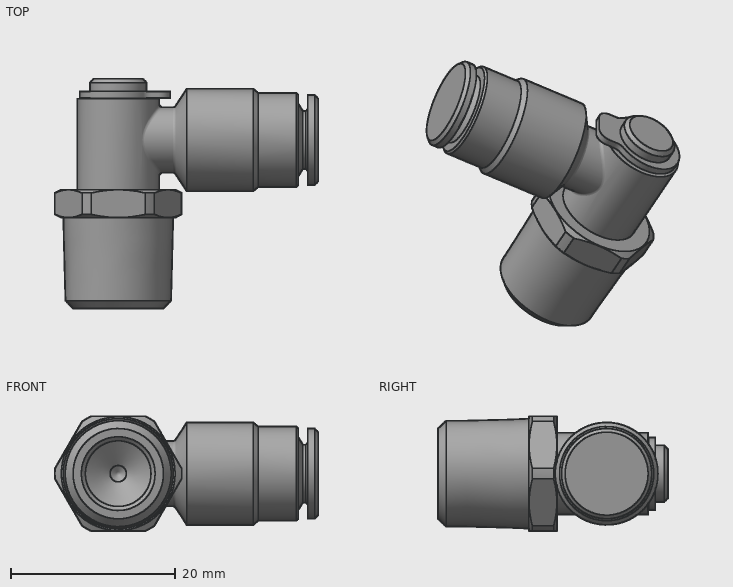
import cadquery as cq
import math


THREAD_END = -20.55
HEX_BOTTOM = -9.47
HEX_TOP = -6.03
BODY_TOP = 5.05
CLIP_BOTTOM = 5.1
CLIP_TOP = 5.95
PLUG_TOP = 7.48
BODY_RADIUS = 10.0 / 2
PLUG_RADIUS = 6.93 / 2
PLUG_CHAMFER = 0.48

THREAD_ROOT_RADIUS = 6.7
THREAD_TIP_RADIUS = 6.45
THREAD_CHAMFER_LENGTH = 1.0
THREAD_FACE_RADIUS = 11.0 / 2

HEX_FLATS = 14.0
HEX_CORNER_RADIUS = 7.73
HEX_CHAMFER_LENGTH = 0.42
HEX_FACE_RADIUS = 6.93

BORE_RADIUS = 8.0 / 2
BORE_MOUTH_RADIUS = 4.5
BORE_MOUTH_DEPTH = 0.48
BORE_DEPTH = 10.6
BORE_TIP_HALF_ANGLE = 59
PILOT_RADIUS = 2.0 / 2
PILOT_DEPTH = 1.28

CLIP_RADIUS = 4.43
CLIP_OFFSET = -0.3
LUG_END = 6.35
LUG_WIDTH = 5.07
LUG_CORNER_RADIUS = 1.38
LUG_ROOT_FILLET = 1.2

NECK_END = 6.87
NECK_RADIUS = 8.0 / 2
SLEEVE_START = 8.35
SLEEVE_END = 16.43
SLEEVE_RADIUS = 12.5 / 2
COLLAR_START = 17.05
COLLAR_END = 21.95
COLLAR_RADIUS = 11.5 / 2
COLLAR_CHAMFER = 0.25
GROOVE_CONE_RADIUS = 4.4
GROOVE_START = 22.5
GROOVE_END = 22.85
GROOVE_RADIUS = 7.1 / 2
FLANGE_START = 23.07
FLANGE_END = 24.35
FLANGE_RADIUS = 11.0 / 2
FLANGE_CHAMFER = 0.45
NECK_FILLET = 0.4
SHOULDER_FILLET = 0.32

SELECT_MARGIN = 0.32


def revolve_about_y(profile):
    """Revolve (radius, y) points, closed along the Y axis."""
    points = [(0, profile[0][1])] + profile + [(0, profile[-1][1])]
    return cq.Workplane("XY").polyline(points).close().revolve(360, (0, 0, 0), (0, 1, 0))


def revolve_about_x(profile):
    """Revolve (x, radius) points, closed along the X axis."""
    points = [(profile[0][0], 0)] + profile + [(profile[-1][0], 0)]
    return cq.Workplane("XY").polyline(points).close().revolve(360, (0, 0, 0), (1, 0, 0))


def plane_at_y(y):
    """Workplane facing +Y, with local x along X and local y along -Z."""
    return cq.Workplane("XZ", origin=(0, y, 0)).transformed(rotate=(180, 0, 0))


def make_body():
    """Round stem and whole branch with a fillet where they meet."""
    stem = plane_at_y(HEX_BOTTOM).circle(BODY_RADIUS).extrude(BODY_TOP - HEX_BOTTOM)
    body = stem.union(make_branch())
    joint_box = cq.selectors.BoxSelector(
        (SELECT_MARGIN, -NECK_RADIUS - SELECT_MARGIN, -NECK_RADIUS - SELECT_MARGIN),
        (BODY_RADIUS + SELECT_MARGIN, NECK_RADIUS + SELECT_MARGIN, NECK_RADIUS + SELECT_MARGIN),
    )
    return body.edges(joint_box).fillet(NECK_FILLET)


def make_hexagon():
    """Hexagon with corners turned to a cylinder and a cone chamfer on each face."""
    across_corners = HEX_FLATS / math.cos(math.radians(30))
    prism = plane_at_y(HEX_BOTTOM).polygon(6, across_corners).extrude(HEX_TOP - HEX_BOTTOM)
    envelope = revolve_about_y([
        (HEX_FACE_RADIUS, HEX_BOTTOM),
        (HEX_CORNER_RADIUS, HEX_BOTTOM + HEX_CHAMFER_LENGTH),
        (HEX_CORNER_RADIUS, HEX_TOP - HEX_CHAMFER_LENGTH),
        (HEX_FACE_RADIUS, HEX_TOP),
    ])
    return prism.intersect(envelope)


def make_thread():
    return revolve_about_y([
        (THREAD_FACE_RADIUS, THREAD_END),
        (THREAD_TIP_RADIUS, THREAD_END + THREAD_CHAMFER_LENGTH),
        (THREAD_ROOT_RADIUS, HEX_BOTTOM),
    ])


def make_plug():
    return revolve_about_y([
        (PLUG_RADIUS, BODY_TOP),
        (PLUG_RADIUS, PLUG_TOP - PLUG_CHAMFER),
        (PLUG_RADIUS - PLUG_CHAMFER, PLUG_TOP),
    ])


def make_clip():
    thickness = CLIP_TOP - CLIP_BOTTOM
    ring = plane_at_y(CLIP_BOTTOM).center(CLIP_OFFSET, 0).circle(CLIP_RADIUS).extrude(thickness)
    lug = (
        plane_at_y(CLIP_BOTTOM)
        .center(LUG_END / 2, 0)
        .rect(LUG_END, LUG_WIDTH)
        .extrude(thickness)
        .edges("|Y and >X")
        .fillet(LUG_CORNER_RADIUS)
    )
    root_box = cq.selectors.BoxSelector(
        (SELECT_MARGIN, CLIP_BOTTOM - SELECT_MARGIN, -LUG_WIDTH),
        (LUG_END - LUG_CORNER_RADIUS - SELECT_MARGIN, CLIP_TOP + SELECT_MARGIN, LUG_WIDTH),
    )
    return ring.union(lug).edges("|Y").edges(root_box).fillet(LUG_ROOT_FILLET)


def make_branch():
    """Neck, sleeve, collar, release groove and end flange."""
    branch = revolve_about_x([
        (0, NECK_RADIUS),
        (NECK_END, NECK_RADIUS),
        (SLEEVE_START, SLEEVE_RADIUS),
        (SLEEVE_END, SLEEVE_RADIUS),
        (COLLAR_START, COLLAR_RADIUS),
        (COLLAR_END - COLLAR_CHAMFER, COLLAR_RADIUS),
        (COLLAR_END, COLLAR_RADIUS - COLLAR_CHAMFER),
        (COLLAR_END, GROOVE_CONE_RADIUS),
        (GROOVE_START, GROOVE_RADIUS),
        (GROOVE_END, GROOVE_RADIUS),
        (FLANGE_START, GROOVE_RADIUS + FLANGE_START - GROOVE_END),
        (FLANGE_START, FLANGE_RADIUS),
        (FLANGE_END - FLANGE_CHAMFER, FLANGE_RADIUS),
        (FLANGE_END, FLANGE_RADIUS - FLANGE_CHAMFER),
    ])
    shoulder_box = cq.selectors.BoxSelector(
        (NECK_END - SELECT_MARGIN, -SLEEVE_RADIUS, -SLEEVE_RADIUS),
        (NECK_END + SELECT_MARGIN, SLEEVE_RADIUS, SLEEVE_RADIUS),
    )
    return branch.edges("%CIRCLE").edges(shoulder_box).fillet(SHOULDER_FILLET)


def make_bore():
    """Blind bore with a chamfered mouth, conical bottom and pointed pilot hole."""
    slope = 1 / math.tan(math.radians(BORE_TIP_HALF_ANGLE))
    cone_start = THREAD_END + BORE_DEPTH
    pilot_start = cone_start + (BORE_RADIUS - PILOT_RADIUS) * slope
    pilot_end = pilot_start + PILOT_DEPTH
    profile = [
        (0, THREAD_END),
        (BORE_MOUTH_RADIUS, THREAD_END),
        (BORE_RADIUS, THREAD_END + BORE_MOUTH_DEPTH),
        (BORE_RADIUS, cone_start),
        (PILOT_RADIUS, pilot_start),
        (PILOT_RADIUS, pilot_end),
        (0, pilot_end + PILOT_RADIUS * slope),
    ]
    return cq.Workplane("XY").polyline(profile).close().revolve(360, (0, 0, 0), (0, 1, 0))


result = (
    make_body()
    .union(make_hexagon())
    .union(make_thread())
    .union(make_plug())
    .union(make_clip())
    .cut(make_bore())
)